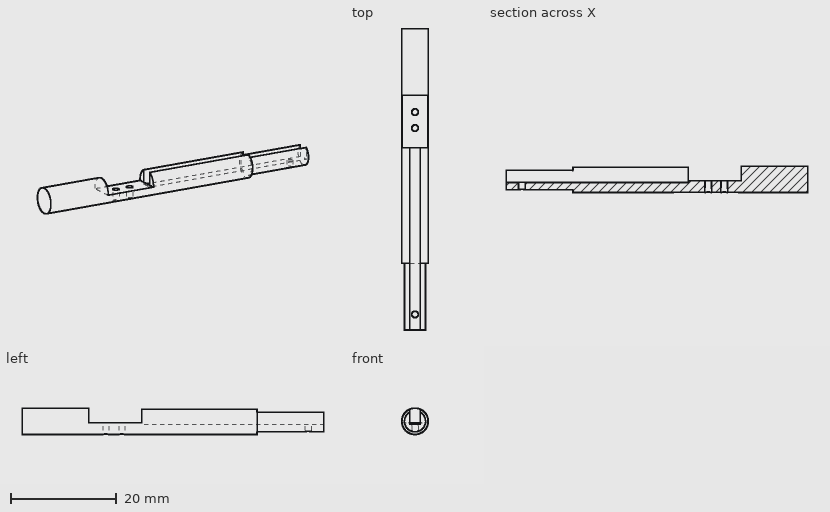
import cadquery as cq

length = 57.15
body_diameter = 5.05
neck_diameter = 4.0
neck_length = 12.65

head_length = 12.65
flat_length = 10.0
flat_height = -0.25
flat_back = length - head_length
flat_front = flat_back - flat_length

slot_width = 2.05
slot_floor = -0.6

hole_diameter = 1.2
hole_spacing = 3.05
neck_hole_y = 3.0
flat_hole_setback = 3.2
flat_hole_y = flat_back - flat_hole_setback
hole_positions = [neck_hole_y, flat_hole_y - hole_spacing, flat_hole_y]


def cylinder_along_y(diameter, start, end):
    """Round bar on the Y axis from start to end."""
    base = cq.Workplane("XZ", origin=(0, start, 0))
    return base.circle(diameter / 2).extrude(start - end)


def upper_cut(width, floor, start, end):
    """Block that removes everything above floor between two Y positions."""
    height = body_diameter
    block = cq.Workplane("XY").box(width, end - start, height, centered=(True, False, False))
    return block.translate((0, start, floor))


def vertical_hole(y):
    """Drill running through the full height of the body."""
    base = cq.Workplane("XY", origin=(0, y, -body_diameter))
    return base.circle(hole_diameter / 2).extrude(2 * body_diameter)


neck = cylinder_along_y(neck_diameter, 0, neck_length)
body = cylinder_along_y(body_diameter, neck_length, length)
result = neck.union(body)

result = result.cut(upper_cut(2 * body_diameter, flat_height, flat_front, flat_back))
result = result.cut(upper_cut(slot_width, slot_floor, 0, flat_front))

for hole_y in hole_positions:
    result = result.cut(vertical_hole(hole_y))